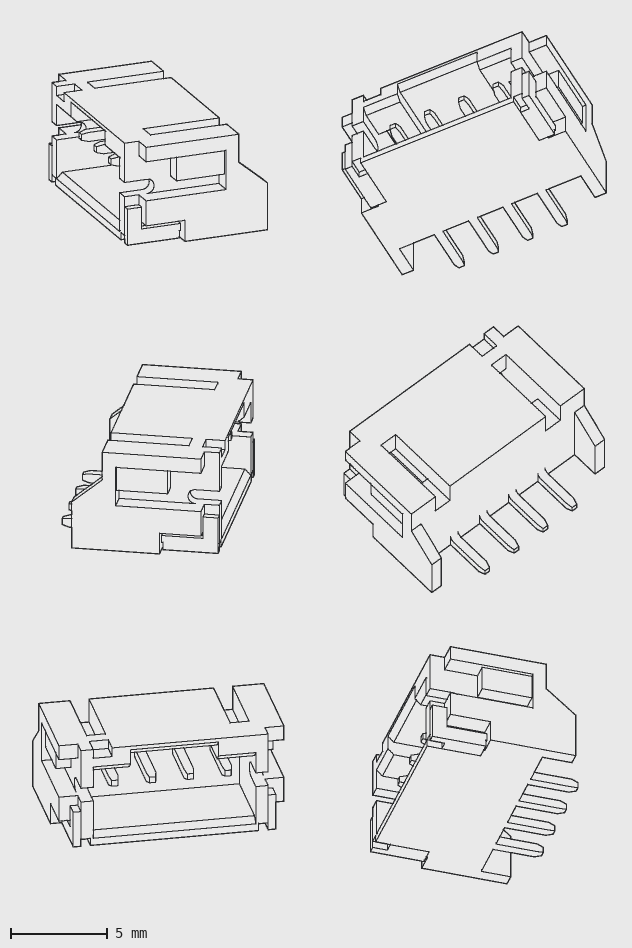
import cadquery as cq


width = 11.9
height = 5.5
half_width = width / 2
body_depth = 6.0

wing_thickness = 0.67
wing_rear = 7.6
wing_slope_top = 3.94
wing_slope_bottom = 2.58

end_wall = 1.65
cavity_half_width = half_width - end_wall
cavity_depth = 4.22
cavity_floor = 0.73
cavity_ceiling = 4.18
key_half_width = 2.32
key_ceiling = 4.97
lead_in_depth = 0.32
lead_in_rise = 0.32

side_depth = 1.0
shoulder_depth = 0.8
recess_bottom = 2.55
recess_top = height - shoulder_depth
recess_rear = 5.28
block_setback = 0.2
block_front = 2.58
groove_top = 3.33
groove_depth = 1.65
groove_straight = groove_depth - (groove_top - recess_bottom) / 2

slot_width = 1.0
slot_front = 1.73
notch_depth = 1.0
notch_drop = 0.5

tab_outer = half_width - 0.6
tab_inner = half_width - side_depth
tab_post_height = 2.0
tab_strip_height = 0.8
tab_strip_rear = 2.98
tab_pocket_height = 1.17
foot_inner = half_width - 1.5
foot_thickness = 0.4
foot_rear = 2.9

pin_count = 4
pin_pitch = 2.0
pin_size = 0.5
pin_tip_size = 0.32
pin_taper = 0.37
pin_front = 0.8
pin_height = 3.07
tail_rear = 8.6
tail_bend_radius = 0.25
pin_root = 0.36


def block(x_range, y_range, z_range):
    """Rectangular block between two limits on each axis; the X limits may come in either order."""
    x0, x1 = sorted(x_range)
    y0, y1 = y_range
    z0, z1 = z_range
    return cq.Workplane("XY").box(x1 - x0, y1 - y0, z1 - z0, centered=False).translate((x0, y0, z0))


def side_sketch(x_start):
    """Workplane at x_start whose local axes are Y and Z; it extrudes toward +X."""
    return cq.Workplane("YZ").workplane(offset=x_start)


def wing(side):
    """Full-height end plate that slopes down behind the housing."""
    outline = [
        (0, 0),
        (wing_rear, 0),
        (wing_rear, wing_slope_bottom),
        (body_depth, wing_slope_top),
        (body_depth, height),
        (0, height),
    ]
    x_start = min(side * half_width, side * (half_width - wing_thickness))
    return side_sketch(x_start).polyline(outline).close().extrude(wing_thickness)


def cavity_zone(zone_half_width, ceiling):
    """Part of the plug cavity, with a sloped lead-in at its floor and ceiling."""
    outline = [
        (0, cavity_floor - lead_in_rise),
        (lead_in_depth, cavity_floor),
        (cavity_depth, cavity_floor),
        (cavity_depth, ceiling),
        (lead_in_depth, ceiling),
        (0, ceiling + lead_in_rise),
    ]
    return side_sketch(-zone_half_width).polyline(outline).close().extrude(2 * zone_half_width)


def side_recess(side):
    """Open recess in an end face, less the raised block left standing in it."""
    x_deep = side * (half_width - side_depth)
    recess = block(
        (side * half_width, x_deep), (0, recess_rear), (recess_bottom, recess_top)
    )
    raised_block = block(
        (side * (half_width - block_setback), x_deep),
        (block_front, recess_rear),
        (groove_top, recess_top),
    )
    return recess.cut(raised_block)


def shoulder(side):
    """Step that sets the outer end of the housing back from the mating face."""
    return block(
        (side * half_width, side * (half_width - side_depth)), (0, shoulder_depth), (0, height)
    )


def side_groove():
    """Round-ended groove that runs in from the mating face through both end walls."""
    return (
        side_sketch(-half_width + side_depth)
        .moveTo(0, recess_bottom)
        .lineTo(groove_straight, recess_bottom)
        .threePointArc((groove_depth, (recess_bottom + groove_top) / 2), (groove_straight, groove_top))
        .lineTo(0, groove_top)
        .close()
        .extrude(2 * (half_width - side_depth))
    )


def roof_slot(side):
    """Slot at one side of the roof, open to the cavity below and to the rear."""
    return block(
        (side * cavity_half_width, side * (cavity_half_width - slot_width)),
        (slot_front, body_depth),
        (cavity_ceiling, height),
    )


def polarity_notch():
    """Small notch in the front edge of the roof that marks the first pin."""
    return block(
        (-cavity_half_width, -cavity_half_width + slot_width),
        (0, notch_depth),
        (height - notch_drop, height),
    )


def tab_pocket(side):
    """Room for a solder tab: a side pocket and a shallow channel under the end wall."""
    pocket = block(
        (side * half_width, side * tab_inner), (0, tab_strip_rear), (0, tab_pocket_height)
    )
    channel = block((side * tab_inner, side * foot_inner), (0, foot_rear), (0, foot_thickness))
    return pocket.union(channel)


def tapered_tip(x, y, z, direction):
    """Square tip that starts full size at y and narrows along direction * Y."""
    return (
        cq.Workplane("XZ", origin=(x, y, z))
        .rect(pin_size, pin_size)
        .workplane(offset=-direction * pin_taper)
        .rect(pin_tip_size, pin_tip_size)
        .loft()
    )


def contact_pin_ends(x):
    """The two exposed ends of a pin: a mating post in the cavity and a tail at board level."""
    x_range = (x - pin_size / 2, x + pin_size / 2)
    post_start = pin_front + pin_taper
    post = block(
        x_range,
        (post_start, cavity_depth + pin_root),
        (pin_height - pin_size / 2, pin_height + pin_size / 2),
    ).union(tapered_tip(x, post_start, pin_height, -1))

    tail_end = tail_rear - pin_taper
    tail = block(x_range, (body_depth - pin_root, tail_end), (0, pin_size))
    tail = tail.union(tapered_tip(x, tail_end, pin_size / 2, 1))

    bend = block(
        x_range,
        (body_depth - pin_root, body_depth + tail_bend_radius),
        (0, pin_size + tail_bend_radius),
    )
    bend_relief = (
        side_sketch(x_range[0])
        .center(body_depth + tail_bend_radius, pin_size + tail_bend_radius)
        .circle(tail_bend_radius)
        .extrude(pin_size)
    )
    return post, tail.union(bend.cut(bend_relief))


def make_housing():
    """Housing together with its contact pins, as one solid."""
    housing = block((-half_width, half_width), (0, body_depth), (0, height))
    for side in (-1, 1):
        housing = housing.union(wing(side))
    housing = housing.cut(cavity_zone(cavity_half_width, cavity_ceiling))
    housing = housing.cut(cavity_zone(key_half_width, key_ceiling))
    for side in (-1, 1):
        housing = housing.cut(side_recess(side))
        housing = housing.cut(shoulder(side))
        housing = housing.cut(roof_slot(side))
        housing = housing.cut(tab_pocket(side))
    housing = housing.cut(side_groove())
    housing = housing.cut(polarity_notch())
    for index in range(pin_count):
        x = (index - (pin_count - 1) / 2) * pin_pitch
        post, tail = contact_pin_ends(x)
        housing = housing.union(post).union(tail)
    return housing.solids().val()


def make_solder_tab(side):
    """Upright L-shaped plate with a flat foot turned in under the housing."""
    plate_outline = [
        (0, 0),
        (foot_rear, 0),
        (foot_rear, foot_thickness),
        (tab_strip_rear, foot_thickness),
        (tab_strip_rear, tab_strip_height),
        (shoulder_depth, tab_strip_height),
        (shoulder_depth, tab_post_height),
        (0, tab_post_height),
    ]
    x_start = min(side * tab_outer, side * tab_inner)
    plate = side_sketch(x_start).polyline(plate_outline).close().extrude(tab_outer - tab_inner)
    foot = block(
        (side * tab_inner, side * foot_inner), (shoulder_depth, foot_rear), (0, foot_thickness)
    )
    return plate.union(foot).solids().val()


housing = make_housing()
solder_tabs = [make_solder_tab(side) for side in (-1, 1)]

result = cq.Compound.makeCompound([housing, *solder_tabs])